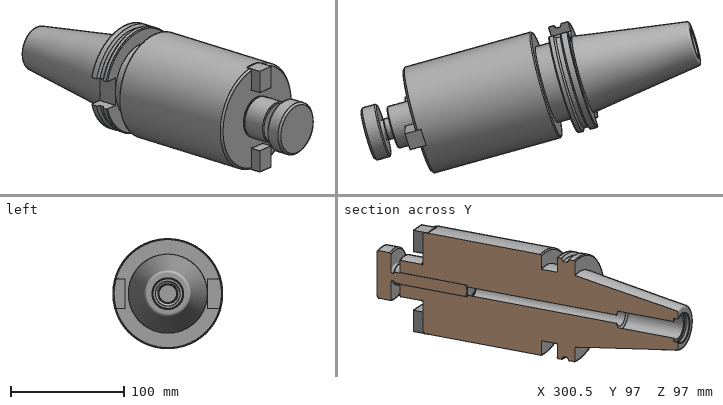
import cadquery as cq
import math


taper_length = 101.5
taper_large_radius = 69.7 / 2
taper_ratio = 7 / 24
taper_small_radius = taper_large_radius - taper_length * taper_ratio / 2
taper_end_fillet = 2.5

body_radius = 97.0 / 2
flange_start = 102.8
flange_end = 120.8
flange_chamfer = 1.0
groove_start = 109.0
groove_end = 116.3
groove_depth = 2.7
groove_wall_run = groove_depth * math.tan(math.radians(30))
slot_width = 26.0
shallow_slot_floor = 37.5
deep_slot_floor = 35.0

body_start = 136.2
body_end = 254.5
body_back_chamfer = 1.2
body_front_chamfer = 1.8

relief_radius = 37.5 / 2
relief_width = 1.5
pilot_radius = 38.2 / 2
pilot_end = 277.8
pilot_chamfer = 1.0

entry_radius = 28.0 / 2
counterbore_radius = 26.8 / 2
counterbore_depth = 3.3
step_radius = 26.2 / 2
step_depth = 4.8
rear_hole_radius = 22.0 / 2
rear_hole_depth = 60.0
passage_radius = 17.5 / 2
drill_half_angle = math.radians(59)

screw_radius = 19.0 / 2
screw_start = 210.5
screw_tip_radius = 15.5 / 2
screw_thread_end = 283.2
neck_radius = 17.5 / 2
neck_fillet = 1.0
head_start = 286.2
head_end = 300.5
head_radius = 48 / 2
head_back_chamfer = 1.2
head_front_chamfer = 1.8

key_width = 15.5
key_start = 249.5
key_end = 264.2
key_inner = 27.7
key_outer = 47.8


def revolve_about_x(outline):
    """Full turn of a closed XY outline about the X axis."""
    return outline.close().revolve(360, (0, 0, 0), (1, 0, 0))


def cylinder_along_x(start, end, radius):
    return cq.Workplane("YZ").workplane(offset=start).circle(radius).extrude(end - start)


def box_between(x_range, y_range, z_range):
    """Box given by its two limits along each axis."""
    corner = cq.Vector(x_range[0], y_range[0], z_range[0])
    return cq.Workplane(
        cq.Solid.makeBox(
            x_range[1] - x_range[0],
            y_range[1] - y_range[0],
            z_range[1] - z_range[0],
            corner,
        )
    )


def make_taper():
    taper = revolve_about_x(
        cq.Workplane("XY")
        .lineTo(0, taper_small_radius)
        .lineTo(taper_length, taper_large_radius)
        .lineTo(taper_length, 0)
    )
    return taper.faces("<X").edges().fillet(taper_end_fillet)


def make_flange():
    flange = cylinder_along_x(flange_start, flange_end, body_radius)
    flange = flange.faces("<X or >X").edges().chamfer(flange_chamfer)
    groove_floor = body_radius - groove_depth
    groove = revolve_about_x(
        cq.Workplane("XY")
        .moveTo(groove_start, body_radius)
        .lineTo(groove_start + groove_wall_run, groove_floor)
        .lineTo(groove_end - groove_wall_run, groove_floor)
        .lineTo(groove_end, body_radius)
    )
    flange = flange.cut(groove)
    x_range = (flange_start, flange_end)
    z_range = (-slot_width / 2, slot_width / 2)
    for y_range in ((shallow_slot_floor, body_radius), (-body_radius, -deep_slot_floor)):
        flange = flange.cut(box_between(x_range, y_range, z_range))
    return flange


def make_body():
    body = cylinder_along_x(body_start, body_end, body_radius)
    body = body.faces("<X").edges().chamfer(body_back_chamfer)
    return body.faces(">X").edges().chamfer(body_front_chamfer)


def make_pilot():
    pilot_start = body_end + relief_width
    relief = cylinder_along_x(body_end, pilot_start, relief_radius)
    pilot = cylinder_along_x(pilot_start, pilot_end, pilot_radius)
    return relief.union(pilot.faces(">X").edges().chamfer(pilot_chamfer))


def make_rear_bore():
    entry_depth = entry_radius - counterbore_radius
    cone_length = (rear_hole_radius - passage_radius) / math.tan(drill_half_angle)
    return revolve_about_x(
        cq.Workplane("XY")
        .lineTo(0, entry_radius)
        .lineTo(entry_depth, counterbore_radius)
        .lineTo(counterbore_depth, counterbore_radius)
        .lineTo(counterbore_depth, step_radius)
        .lineTo(step_depth, step_radius)
        .lineTo(step_depth, rear_hole_radius)
        .lineTo(rear_hole_depth, rear_hole_radius)
        .lineTo(rear_hole_depth + cone_length, passage_radius)
        .lineTo(screw_start, passage_radius)
        .lineTo(screw_start, 0)
    )


def make_drive_key(side):
    """Rectangular key on the +Z (side = 1) or -Z (side = -1) edge of the body."""
    z_range = sorted((side * key_inner, side * key_outer))
    return box_between((key_start, key_end), (-key_width / 2, key_width / 2), z_range)


def make_key_slot(side):
    """Slot for a key, open at the body's front end and at its rim."""
    z_range = sorted((side * key_inner, side * body_radius))
    return box_between((key_start, body_end), (-key_width / 2, key_width / 2), z_range)


def make_holder():
    neck = cylinder_along_x(taper_length, body_start, taper_large_radius)
    holder = make_taper().union(neck).union(make_flange())
    holder = holder.union(make_body()).union(make_pilot())
    holder = holder.cut(make_rear_bore())
    holder = holder.cut(cylinder_along_x(screw_start, pilot_end, screw_radius))
    for side in (1, -1):
        holder = holder.cut(make_key_slot(side))
    return holder


def make_screw():
    tip_chamfer = screw_radius - screw_tip_radius
    thread_runout = screw_radius - neck_radius
    fillet_drop = neck_fillet * math.sqrt(0.5)
    fillet_center = (head_start - neck_fillet, neck_radius + neck_fillet)
    return revolve_about_x(
        cq.Workplane("XY")
        .moveTo(screw_start, 0)
        .lineTo(screw_start, screw_tip_radius)
        .lineTo(screw_start + tip_chamfer, screw_radius)
        .lineTo(screw_thread_end, screw_radius)
        .lineTo(screw_thread_end + thread_runout, neck_radius)
        .lineTo(fillet_center[0], neck_radius)
        .threePointArc(
            (fillet_center[0] + fillet_drop, fillet_center[1] - fillet_drop),
            (head_start, fillet_center[1]),
        )
        .lineTo(head_start, head_radius - head_back_chamfer)
        .lineTo(head_start + head_back_chamfer, head_radius)
        .lineTo(head_end - head_front_chamfer, head_radius)
        .lineTo(head_end, head_radius - head_front_chamfer)
        .lineTo(head_end, 0)
    )


holder = make_holder()
drive_keys = [make_drive_key(side) for side in (1, -1)]
retaining_screw = make_screw()

result = cq.Compound.makeCompound(
    [holder.val(), *[key.val() for key in drive_keys], retaining_screw.val()]
)